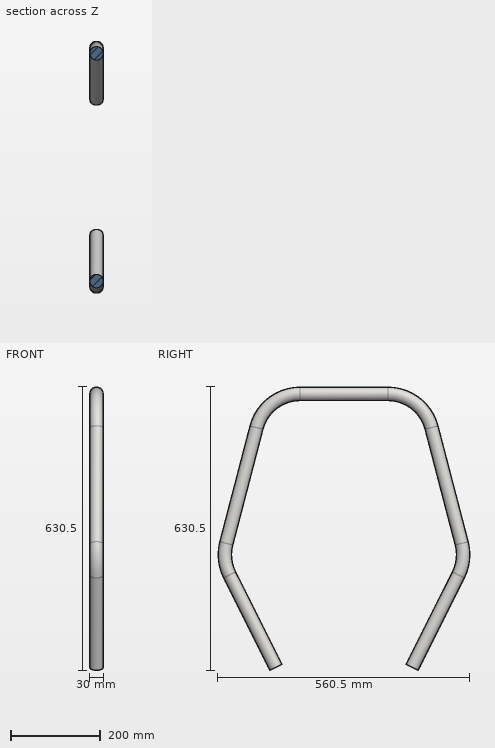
import cadquery as cq
import math

height = 630.5
width = 560.5
bar_diameter = 30.0
bend_radius = 100.0
top_straight = 195.5
upper_lean = math.radians(14.6)
lower_lean = math.radians(26.6)

bar_radius = bar_diameter / 2
top_z = height - bar_radius
half_top = top_straight / 2

upper_center_y = half_top
upper_center_z = top_z - bend_radius
lower_center_y = width / 2 - bar_radius - bend_radius
center_drop = (lower_center_y - upper_center_y) / math.tan(upper_lean)
lower_center_z = upper_center_z - center_drop


def upper_bend_point(angle):
    """Centreline point of the upper bend at an angle above horizontal."""
    y = upper_center_y + bend_radius * math.cos(angle)
    z = upper_center_z + bend_radius * math.sin(angle)
    return y, z


def lower_bend_point(angle):
    """Centreline point of the lower bend at an angle above horizontal."""
    y = lower_center_y + bend_radius * math.cos(angle)
    z = lower_center_z + bend_radius * math.sin(angle)
    return y, z


def mirrored(point):
    """The matching point on the -Y half."""
    y, z = point
    return -y, z


top_end = (half_top, top_z)
upper_middle = upper_bend_point((math.pi / 2 + upper_lean) / 2)
upper_end = upper_bend_point(upper_lean)
lower_start = lower_bend_point(upper_lean)
lower_middle = lower_bend_point((upper_lean - lower_lean) / 2)
lower_end = lower_bend_point(-lower_lean)

foot_z = bar_radius * math.sin(lower_lean)
foot_y = lower_end[0] - (lower_end[1] - foot_z) * math.tan(lower_lean)
foot = (foot_y, foot_z)

centerline = (
    cq.Workplane("YZ")
    .moveTo(*mirrored(foot))
    .lineTo(*mirrored(lower_end))
    .threePointArc(mirrored(lower_middle), mirrored(lower_start))
    .lineTo(*mirrored(upper_end))
    .threePointArc(mirrored(upper_middle), mirrored(top_end))
    .lineTo(*top_end)
    .threePointArc(upper_middle, upper_end)
    .lineTo(*lower_start)
    .threePointArc(lower_middle, lower_end)
    .lineTo(*foot)
)

foot_plane = cq.Plane(
    origin=(0, -foot_y, foot_z),
    xDir=(1, 0, 0),
    normal=(0, -math.sin(lower_lean), math.cos(lower_lean)),
)
result = cq.Workplane(foot_plane).circle(bar_radius).sweep(centerline)